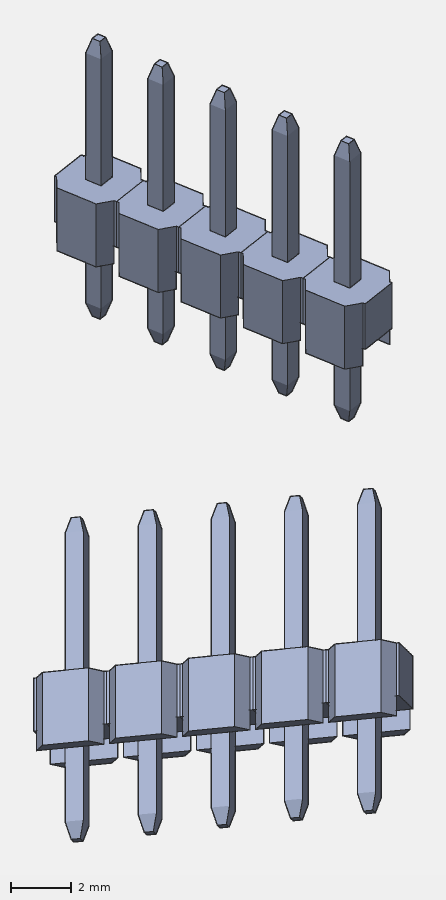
import cadquery as cq

segment_count = 5
pitch = 2.54

housing_depth = pitch
housing_height = 2.54
channel_width = 1.52
channel_height = 0.7
corner_step = 0.095
corner_length = 0.47

pin_width = 0.64
pin_length = 11.2
pin_above_housing = 5.66
tip_width = pin_width / 2
tip_height = 0.57

pin_top = housing_height + pin_above_housing
pin_bottom = pin_top - pin_length


def make_housing():
    """Bevelled block with a channel along X that leaves a leg on each Y side."""
    end_x = pitch / 2
    side_y = housing_depth / 2
    bevel_start_x = end_x - corner_step
    bevel_end_x = end_x - corner_length
    neck_y = channel_width / 2

    quarter = [(end_x, neck_y), (bevel_start_x, neck_y), (bevel_end_x, side_y)]
    half = quarter + [(-x, y) for x, y in reversed(quarter)]
    outline = half + [(x, -y) for x, y in reversed(half)]

    block = cq.Workplane("XY").polyline(outline).close().extrude(housing_height)
    channel = cq.Workplane("XY").rect(pitch, channel_width).extrude(channel_height)
    return block.cut(channel)


def make_tip(base_z, end_z):
    """Square taper from the full pin width at base_z to the tip width at end_z."""
    return (
        cq.Workplane("XY", origin=(0, 0, base_z))
        .rect(pin_width, pin_width)
        .workplane(offset=end_z - base_z)
        .rect(tip_width, tip_width)
        .loft(ruled=True)
    )


def make_pin():
    """Straight square shank between the two tapered tips."""
    shank_bottom = pin_bottom + tip_height
    shank_top = pin_top - tip_height
    shank = (
        cq.Workplane("XY", origin=(0, 0, shank_bottom))
        .rect(pin_width, pin_width)
        .extrude(shank_top - shank_bottom)
    )
    return shank.union(make_tip(shank_top, pin_top)).union(make_tip(shank_bottom, pin_bottom))


def make_segment(center_x):
    """One header segment: a housing block and its pin as a single solid."""
    return make_housing().union(make_pin()).translate((center_x, 0, 0)).solids().val()


first_center_x = -pitch * (segment_count - 1) / 2
segments = []
for index in range(segment_count):
    segments.append(make_segment(first_center_x + index * pitch))

result = cq.Compound.makeCompound(segments)